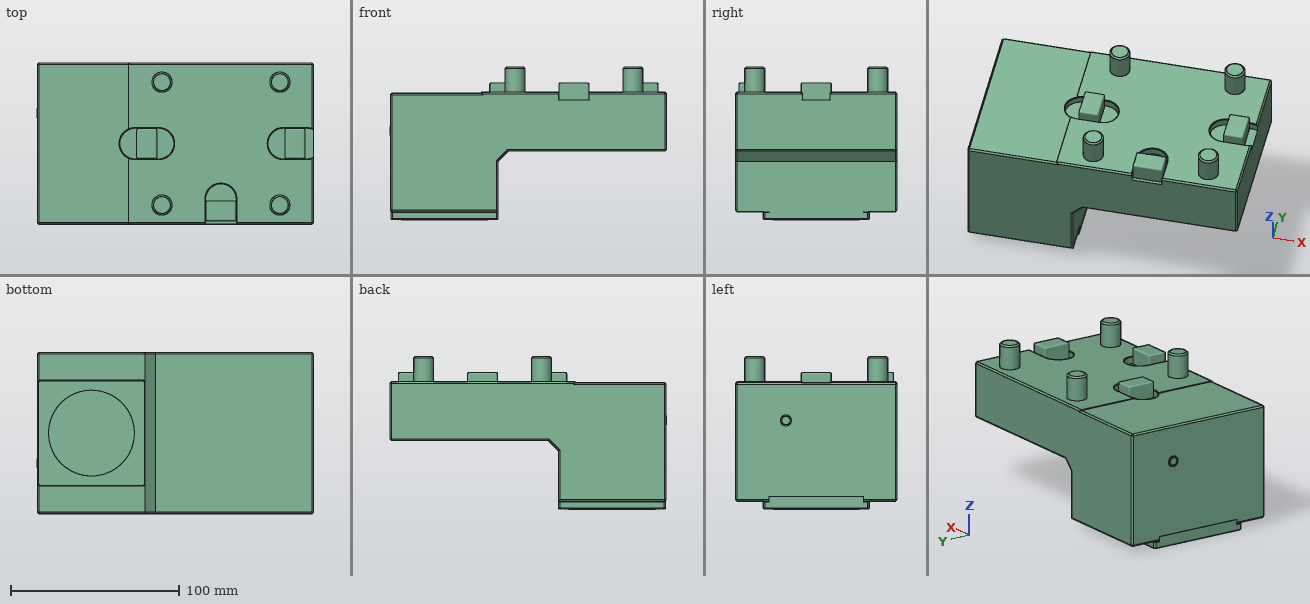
import cadquery as cq
total_length = 164.25
button_height = 0.25
body_length = total_length - button_height
body_width = 96.0
body_height = 71.0
arm_length = 100.0
arm_height = 35.0
neck_bevel = 6.0
edge_chamfer = 1.0
mounting_length = 110.0
mounting_start = body_length - mounting_length
mounting_step = 0.5

pin_diameter = 12.0
pin_height = 15.0
pin_chamfer = 1.0
pin_spacing_x = 70.0
pin_spacing_y = 73.0
mounting_center_x = body_length - mounting_length / 2

key_length = 18.0
key_thickness = 12.0
key_height = 5.5
key_round = 1.0
slot_clearance = 0.25
slot_width = key_length + slot_clearance
slot_length = 32.2
slot_depth = 4.5
slot_rim_chamfer = 0.4
end_key_spacing = 88.0
side_key_inset = 8.0

leg_length = body_length - arm_length
flange_inset = 0.25
flange_length = leg_length - flange_inset
flange_center_x = flange_inset + flange_length / 2
flange_width = 63.0
flange_height = 4.5
flange_corner_chamfer = 1.0
flange_edge_chamfer = 0.5
plug_width = 56.0
plug_depth = 2.75
disc_diameter = 51.0
disc_height = 0.5

button_diameter = 5.0
button_recess_diameter = 6.5
button_recess_depth = 0.5
button_y = 18.0
button_z = -23.0


def make_body():
    """Extruded L-shaped body with a lowered left top and chamfered outer edges."""
    outline = [
        (0, -mounting_step),
        (mounting_start, -mounting_step),
        (mounting_start, 0),
        (body_length, 0),
        (body_length, -arm_height),
        (leg_length + neck_bevel, -arm_height),
        (leg_length, -arm_height - neck_bevel),
        (leg_length, -body_height),
        (0, -body_height),
    ]
    body = cq.Workplane("XZ").polyline(outline).close().extrude(body_width / 2, both=True)
    body = body.faces("<X or >X or <Y or >Y").edges().chamfer(edge_chamfer)
    return body


def make_pin(x, y):
    """Round locating pin with a chamfered tip."""
    pin = cq.Workplane("XY").circle(pin_diameter / 2).extrude(pin_height)
    return pin.faces(">Z").chamfer(pin_chamfer).translate((x, y, 0))


def make_slot():
    """Round-ended slot volume, its length along X and its middle at the origin."""
    return cq.Workplane("XY").slot2D(slot_length, slot_width).extrude(-slot_depth)


def make_slot_rim():
    """Chamfered rim volume that widens the mouth of a slot."""
    rim_length = slot_length + 2 * slot_rim_chamfer
    rim_width = slot_width + 2 * slot_rim_chamfer
    return cq.Workplane("XY").slot2D(rim_length, rim_width).extrude(-slot_rim_chamfer, taper=45)


def make_lowered_region():
    """Space above and below the lowered left part of the top."""
    region = cq.Workplane("XY")
    return region.box(mounting_start, body_width, body_height, centered=(False, True, True))


def place_about_z(shape, x, y, angle):
    """Turn a shape by angle about Z and move its origin to (x, y)."""
    return shape.rotate((0, 0, 0), (0, 0, 1), angle).translate((x, y, 0))


def make_key():
    """Rectangular key rising from the slot floor, thickness along the slot."""
    return (
        cq.Workplane("XY")
        .workplane(offset=-slot_depth)
        .rect(key_thickness, key_length)
        .extrude(slot_depth + key_height)
        .edges("|Z or >Z")
        .fillet(key_round)
    )


def make_flange():
    """Chamfered flange under the leg, with its round contact disc."""
    flange = (
        cq.Workplane("XY", origin=(flange_center_x, 0, -body_height))
        .rect(flange_length, flange_width)
        .extrude(-flange_height)
        .edges("|Z")
        .chamfer(flange_corner_chamfer)
        .faces("<Z or >Z")
        .chamfer(flange_edge_chamfer)
    )
    return flange.faces("<Z").workplane().circle(disc_diameter / 2).extrude(disc_height)


def make_plug():
    """Block that carries the flange up into the leg, flush with the flange's ends."""
    plug_bottom = -body_height - flange_height / 2
    plug_height = plug_depth + flange_height / 2
    plug = cq.Workplane("XY", origin=(flange_center_x, 0, plug_bottom))
    return plug.box(flange_length, plug_width, plug_height, centered=(True, True, False))


def make_plug_pocket():
    """Pocket across the leg's underside that holds the plug."""
    pocket = cq.Workplane("XY", origin=(0, 0, -body_height))
    return pocket.box(leg_length, plug_width, plug_depth, centered=(False, True, False))


def make_button():
    """Button volume reaching from the recess floor to just outside the left end."""
    return (
        cq.Workplane("YZ", origin=(-button_height, button_y, button_z))
        .circle(button_diameter / 2)
        .extrude(button_height + button_recess_depth)
    )


def make_button_recess():
    """Shallow round recess around the button."""
    return (
        cq.Workplane("YZ", origin=(0, button_y, button_z))
        .circle(button_recess_diameter / 2)
        .extrude(button_recess_depth)
    )


key_places = [
    (mounting_center_x - end_key_spacing / 2, 0, 0),
    (mounting_center_x + end_key_spacing / 2, 0, 0),
    (mounting_center_x, -body_width / 2 + side_key_inset, 90),
]

result = make_body()
for key_place in key_places:
    rim = place_about_z(make_slot_rim(), *key_place)
    lowered_rim = rim.translate((0, 0, -mounting_step)).intersect(make_lowered_region())
    result = result.cut(place_about_z(make_slot(), *key_place)).cut(rim)
    if lowered_rim.vals() and lowered_rim.val().Volume() > 0:
        result = result.cut(lowered_rim)
    result = result.union(place_about_z(make_key(), *key_place))

for side_x in (-1, 1):
    for side_y in (-1, 1):
        result = result.union(
            make_pin(mounting_center_x + side_x * pin_spacing_x / 2, side_y * pin_spacing_y / 2)
        )
result = result.cut(make_button_recess()).union(make_button())

result = result.cut(make_plug_pocket()).union(make_flange()).union(make_plug())